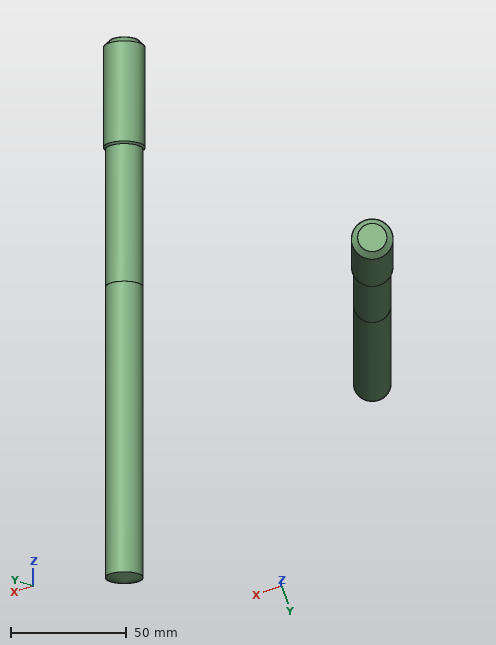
import cadquery as cq

total_length = 246.0

head_diameter = 18.0
head_length = 49.05
top_chamfer = 2.7
underside_chamfer_height = 0.9

shank_diameter = 16.32

rod_length = 134.5
cone_height = 2.6

head_radius = head_diameter / 2
shank_radius = shank_diameter / 2
tip_z = -total_length / 2
cone_base_z = tip_z + cone_height
joint_z = tip_z + rod_length
head_top_z = tip_z + total_length
head_bottom_z = head_top_z - head_length


def revolve_about_z(profile_points):
    """Solid of revolution from (radius, z) points that start and end on the Z axis."""
    return cq.Workplane("XZ").polyline(profile_points).close().revolve(360, (0, 0, 0), (0, 1, 0))


def make_driver():
    """Upper body: chamfered head tapering into a plain shank that ends flat at the joint."""
    return revolve_about_z([
        (0, joint_z),
        (shank_radius, joint_z),
        (shank_radius, head_bottom_z),
        (head_radius, head_bottom_z + underside_chamfer_height),
        (head_radius, head_top_z - top_chamfer),
        (head_radius - top_chamfer, head_top_z),
        (0, head_top_z),
    ])


def make_tip_rod():
    """Lower body: rod of the shank diameter with a shallow conical tip."""
    return revolve_about_z([
        (0, tip_z),
        (shank_radius, cone_base_z),
        (shank_radius, joint_z),
        (0, joint_z),
    ])


driver = make_driver()
tip_rod = make_tip_rod()

result = cq.Compound.makeCompound([driver.val(), tip_rod.val()])